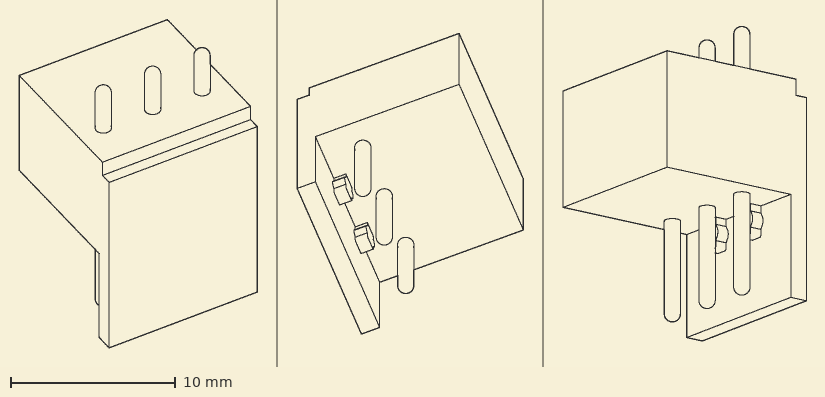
import cadquery as cq

pin_count = 3
pitch = 3.5
depth_x = 10.6
width_y = pin_count * pitch
body_bottom = 6.53
body_top = 13.93

wall_thickness = 1.2
wall_top = 12.9
step_depth = 0.79

pin_x = 7.0
pin_diameter = 1.0
pin_bottom = 0.15
pin_top = 17.15
tip_radius = 0.48

rib_thickness = 0.79
rib_neck_half = 0.5
rib_shoulder_half = 0.65
rib_bulge_half = 0.7
rib_bulge_drop = 0.98
rib_arc_half = 0.24
rib_flare_half = 0.51
rib_length = 1.97
rib_corner_radius = 0.15


def make_housing():
    wall_inner = depth_x - wall_thickness
    body_back = depth_x - step_depth
    profile = [
        (0, body_bottom),
        (wall_inner, body_bottom),
        (wall_inner, 0),
        (depth_x, 0),
        (depth_x, wall_top),
        (body_back, wall_top),
        (body_back, body_top),
        (0, body_top),
    ]
    return cq.Workplane("XZ").polyline(profile).close().extrude(width_y / 2, both=True)


def make_pin(y):
    pin = (
        cq.Workplane("XY", origin=(pin_x, y, pin_bottom))
        .circle(pin_diameter / 2)
        .extrude(pin_top - pin_bottom)
    )
    return pin.faces("<Z or >Z").edges().fillet(tip_radius)


def make_rib(y):
    bulge_z = -rib_bulge_drop
    flare_top = bulge_z + rib_flare_half
    flare_bottom = bulge_z - rib_flare_half
    arc_top = bulge_z + rib_arc_half
    arc_bottom = bulge_z - rib_arc_half
    rib = (
        cq.Workplane("YZ", origin=(depth_x - wall_thickness - rib_thickness, y, body_bottom))
        .moveTo(-rib_neck_half, 0)
        .lineTo(rib_neck_half, 0)
        .lineTo(rib_neck_half, flare_top)
        .lineTo(rib_shoulder_half, arc_top)
        .threePointArc((rib_bulge_half, bulge_z), (rib_shoulder_half, arc_bottom))
        .lineTo(rib_neck_half, flare_bottom)
        .lineTo(rib_neck_half, -rib_length)
        .lineTo(-rib_neck_half, -rib_length)
        .lineTo(-rib_neck_half, flare_bottom)
        .lineTo(-rib_shoulder_half, arc_bottom)
        .threePointArc((-rib_bulge_half, bulge_z), (-rib_shoulder_half, arc_top))
        .lineTo(-rib_neck_half, flare_top)
        .close()
        .extrude(rib_thickness)
    )
    return rib.faces("<Z").edges("|X").fillet(rib_corner_radius)


result = make_housing()
first_pin_y = -pitch * (pin_count - 1) / 2

for index in range(pin_count):
    result = result.union(make_pin(first_pin_y + index * pitch))

for index in range(pin_count - 1):
    result = result.union(make_rib(first_pin_y + (index + 0.5) * pitch))